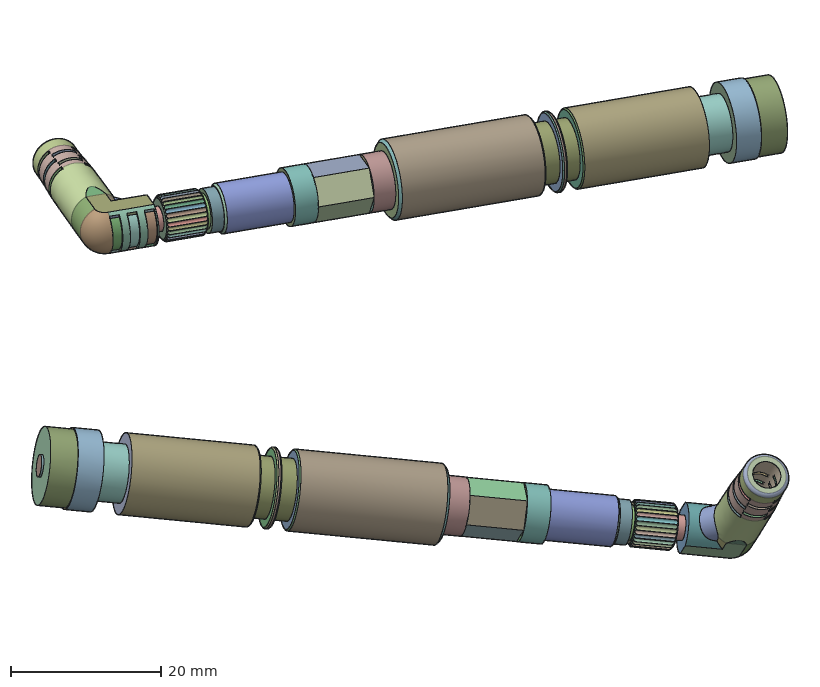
import cadquery as cq
import math


barrel_dia = 11.0
collar_dia = 8.0
waist_dia = 8.5
tail_dia = 6.9
socket_dia = 6.1
tip_dia = 10.6
button_dia = 3.0

tip_y = 94.9
socket_y = 14.2
tail_y = 15.8
tail_collar_y = 25.6
hex_start_y = 28.8
hex_end_y = 36.7
rear_barrel_y = 39.7
waist_start_y = 60.5
waist_end_y = 65.7
tip_neck_y = 83.5
head_y = 87.3
head_step_y = 90.9
button_height = 0.3
barrel_chamfer = 0.4
tail_chamfer = 0.3
waist_edge_chamfer = 0.2

ring_y = 62.8
ring_width = 0.7
ring_chamfer = 0.2

nut_dia = 6.4
nut_y = 7.8
nut_end_y = 13.7
nut_chamfer = 0.4
nut_neck_dia = 4.9
knurl_count = 32
knurl_groove_dia = 0.6

stub_dia = 3.4
elbow_dia = 6.9
elbow_top_y = 6.5
arm_end_x = -20.4
arm_end_dia = 6.3
arm_end_length = 2.4
arm_shoulder_x = -12.4
arm_shoulder_dia = 6.8
arm_root_x = -3.5
arm_end_fillet = 0.5
flat_z = 3.1
flat_ramp_x = -5.6
gusset_dia = 4.9
gusset_reach = 6.0
gusset_length = 4.9
grip_inner_radius = 3.1
grip_x = 2.0
grip_overcut = 1.0
grip_groove_width = 1.4
grip_pitch = 2.5
grip_count = 3
grip_first_y = 0.0
bore_dia = 3.8
bore_depth = 8.4
bore_tip_depth = 2.0
slot_width = 0.6
slot_pitch = 1.3
slot_first_x = -17.6
slot_count = 5
slot_core = 3.2


def disc(dia, y_start, y_end):
    """Make a cylinder on the sensor axis between two Y stations."""
    return cq.Workplane("XZ", origin=(0, y_start, 0)).circle(dia / 2).extrude(y_start - y_end)


def make_sensor():
    socket = disc(socket_dia, socket_y, tail_y)
    tail = disc(tail_dia, tail_y, tail_collar_y).faces("<Y").chamfer(tail_chamfer)
    tail_collar = disc(collar_dia, tail_collar_y, hex_start_y)
    hexagon = (
        cq.Workplane("XZ", origin=(0, hex_start_y, 0))
        .polygon(6, collar_dia)
        .extrude(hex_start_y - hex_end_y)
    )
    rear_collar = disc(collar_dia, hex_end_y, rear_barrel_y)
    rear_barrel = disc(barrel_dia, rear_barrel_y, waist_start_y)
    rear_barrel = rear_barrel.faces("<Y").chamfer(barrel_chamfer).faces(">Y").chamfer(waist_edge_chamfer)
    waist = disc(waist_dia, waist_start_y, waist_end_y)
    front_barrel = disc(barrel_dia, waist_end_y, tip_neck_y).faces("<Y").chamfer(waist_edge_chamfer)
    tip_neck = disc(collar_dia, tip_neck_y, head_y)
    head = disc(barrel_dia, head_y, head_step_y)
    tip = disc(tip_dia, head_step_y, tip_y - button_height)
    button = disc(button_dia, tip_y - button_height, tip_y)
    sensor = socket
    for section in (
        tail, tail_collar, hexagon, rear_collar, rear_barrel, waist,
        front_barrel, tip_neck, head, tip, button,
    ):
        sensor = sensor.union(section)
    return sensor


def make_ring():
    ring_end_y = ring_y + ring_width
    ring = disc(barrel_dia, ring_y, ring_end_y).faces("<Y or >Y").chamfer(ring_chamfer)
    return ring.cut(disc(waist_dia, ring_y, ring_end_y))


def make_nut():
    nut = disc(nut_dia, nut_y, nut_end_y).faces("<Y or >Y").chamfer(nut_chamfer)
    grooves = (
        cq.Workplane("XZ", origin=(0, nut_y, 0))
        .polarArray(nut_dia / 2, 0, 360, knurl_count)
        .circle(knurl_groove_dia / 2)
        .extrude(nut_y - nut_end_y)
    )
    nut = nut.cut(grooves).union(disc(nut_neck_dia, nut_end_y, socket_y))
    return nut.cut(disc(stub_dia, nut_y, socket_y))


def elbow_outline():
    """Riser, rounded corner, tapered arm and the gusset in the inside corner."""
    radius = elbow_dia / 2
    riser = disc(elbow_dia, 0, elbow_top_y)
    corner = cq.Workplane("XY").sphere(radius)
    arm = (
        cq.Workplane("XY")
        .moveTo(arm_end_x, 0)
        .lineTo(arm_end_x, arm_end_dia / 2)
        .lineTo(arm_end_x + arm_end_length, arm_end_dia / 2)
        .lineTo(arm_shoulder_x, arm_shoulder_dia / 2)
        .lineTo(arm_root_x, radius)
        .lineTo(0, radius)
        .lineTo(0, 0)
        .close()
        .revolve(360, (0, 0, 0), (1, 0, 0))
        .faces("<X")
        .edges()
        .fillet(arm_end_fillet)
    )
    axis_offset = (gusset_reach - gusset_dia / 2) / math.sqrt(2)
    gusset_plane = cq.Plane(origin=(-axis_offset, axis_offset, 0), xDir=(0, 0, 1), normal=(1, 1, 0))
    gusset = cq.Workplane(gusset_plane).circle(gusset_dia / 2).extrude(gusset_length / 2, both=True)
    return riser.union(corner).union(arm).union(gusset)


def side_flats():
    """Material above and below the elbow's flats, ramping out along the arm."""
    radius = elbow_dia / 2
    upper = (
        cq.Workplane("XZ")
        .moveTo(flat_ramp_x, radius)
        .lineTo(arm_root_x, flat_z)
        .lineTo(radius, flat_z)
        .lineTo(radius, elbow_dia)
        .lineTo(flat_ramp_x, elbow_dia)
        .close()
        .extrude(2 * elbow_dia, both=True)
    )
    return upper.union(upper.mirror("XY"))


def grip_grooves():
    """Shallow grooves across the back of the riser."""
    radius = elbow_dia / 2
    back = cq.Workplane("XY").box(elbow_dia, elbow_top_y * 2, elbow_dia).translate((grip_x + radius, 0, 0))
    grooves = cq.Workplane("XY")
    for i in range(grip_count):
        y = grip_first_y + i * grip_pitch
        ring = disc(elbow_dia + grip_overcut, y, y + grip_groove_width)
        grooves = grooves.union(ring.cut(disc(2 * grip_inner_radius, y, y + grip_groove_width)))
    return grooves.intersect(back)


def cable_bore():
    """Blind bore for the cable with a conical bottom."""
    return (
        cq.Workplane("XY")
        .moveTo(arm_end_x, 0)
        .lineTo(arm_end_x, bore_dia / 2)
        .lineTo(arm_end_x + bore_depth, bore_dia / 2)
        .lineTo(arm_end_x + bore_depth + bore_tip_depth, 0)
        .close()
        .revolve(360, (0, 0, 0), (1, 0, 0))
    )


def strain_relief_slots():
    """Slots that leave a central slab, alternating with slots that leave two side walls."""
    slots = cq.Workplane("XY")
    offset = slot_core / 2 + elbow_dia / 2
    for i in range(slot_count):
        x = slot_first_x + i * slot_pitch
        for side in (-1, 1):
            if i % 2 == 0:
                cutter = cq.Workplane("XY").box(slot_width, elbow_dia, 2 * elbow_dia)
                cutter = cutter.translate((x, side * offset, 0))
            else:
                cutter = cq.Workplane("XY").box(slot_width, slot_core, elbow_dia)
                cutter = cutter.translate((x, 0, side * offset))
            slots = slots.union(cutter)
    return slots


def make_connector():
    connector = elbow_outline().cut(side_flats()).cut(grip_grooves())
    connector = connector.cut(cable_bore()).cut(strain_relief_slots())
    return connector.union(disc(stub_dia, 0, socket_y))


sensor = make_sensor()
ring = make_ring()
nut = make_nut()
connector = make_connector()

result = cq.Compound.makeCompound([sensor.val(), ring.val(), nut.val(), connector.val()])